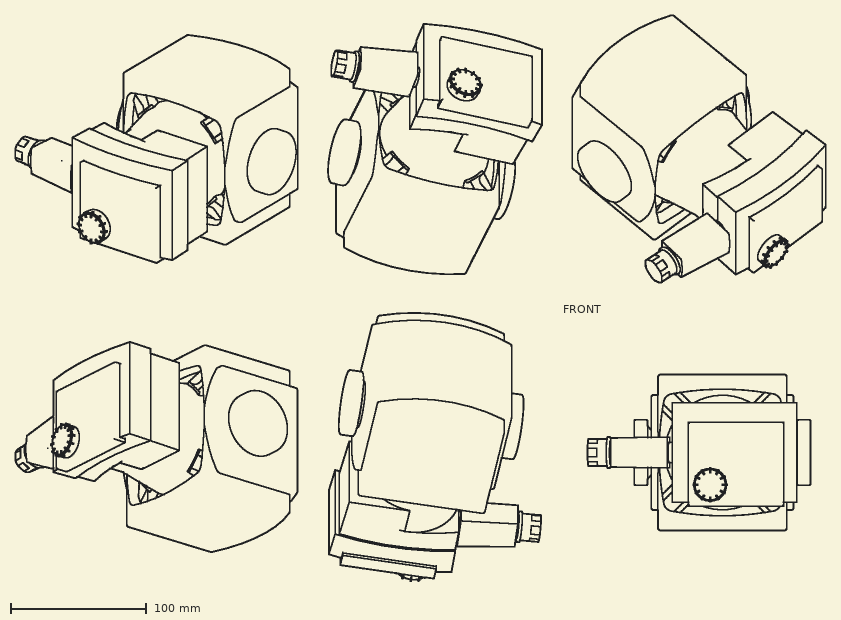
import cadquery as cq
import math


SHELL_FRONT_Y = -40.0
SHELL_FILLET = 2.0
BACK_RADIUS = 120.0
BLOCK_WIDTH = 95.0
BLOCK_HEIGHT = 115.0
BLOCK_BACK_Y = 49.6
PLATE_WIDTH = 105.0
PLATE_HEIGHT = 85.0
PLATE_BACK_Y = 55.05
PLATE_FRONT_RADIUS = 80.0
PLATE_CORNER_FILLET = 5.0

PILLOW_HALF = 46.7
PILLOW_CORNER_HALF = 42.2
PILLOW_CORNER_FILLET = 7.0
PILLOW_FRONT_Y = -29.0
PILLOW_BACK_Y = 20.0
PORT_LENGTH = 130.0
PORT_DIAMETER = 48.3
PORT_THICKNESS = 10.0
PORT_FILLET = 1.1
PIPE_DIAMETER = 33.7
NECK_DIAMETER = 39.0
RIB_THICKNESS = 3.8
RIB_OFFSET = 7.5
RIB_INNER_RADIUS = 40.0
RIB_LEDGE_RADIUS = 42.4
RIB_OUTER_RADIUS = 57.0
RIB_HEIGHT = 7.0
RIB_FILLET = 0.6
LEDGE_FILLET = 5.0

MOTOR_DIAMETER = 70.0
MOTOR_SHOULDER_Y = -65.0
MOTOR_SHELL_RADIUS = 40.0

MODULE_CENTRE_X = 9.0
MODULE_RADIUS = 220.0
MODULE_DRAFT = math.radians(2.5)
BASE_HEIGHT = 70.0
BASE_FRONT_Y = -100.3
BASE_LEFT_X = -34.6
BASE_RIGHT_X = 49.2
BASE_NOTCH_X = 3.8
MODULE_BACK_Y = -85.3
MODULE_BACK_RADIUS = 150.0
COVER_HEIGHT = 73.6
COVER_FRONT_Y = -120.5
COVER_HALF_WIDTH = 45.1

PANEL_LEFT_X = -25.0
PANEL_RIGHT_X = 45.2
PANEL_BOTTOM_Z = -39.6
PANEL_TOP_Z = 22.3
PANEL_FRONT_Y = -122.4
PANEL_THICKNESS = 10.0
PANEL_FILLET = 0.7

KNOB_X = -9.0
KNOB_Z = -23.8
KNOB_DIAMETER = 24.0
KNOB_FRONT_Y = -129.85
KNOB_CHAMFER = 0.8
GRIP_COUNT = 12
GRIP_DIAMETER = 25.0
GRIP_INNER_RADIUS = 9.0
GRIP_WIDTH = 0.8
GRIP_LENGTH = 3.3
GRIP_FRONT_Y = -130.25

CONNECTOR_TILT = math.radians(4.0)
NUT_END_X = -98.75
NUT_END_Y = -92.9
NUT_DIAMETER = 20.0
NUT_LENGTH = 14.0
NUT_FLAT_COUNT = 6
NUT_FLAT_APOTHEM = 9.5
NUT_FLAT_LENGTH = 7.0
SEAL_DIAMETER = 23.0
SEAL_THICKNESS = 2.2
SEAL_FILLET = 0.7
GLAND_NECK_DIAMETER = 17.0
CONNECTOR_OUTER_END = 17.3
CONNECTOR_INNER_END = 59.5
OUTER_END_HALF_HEIGHT = 10.8
OUTER_END_BACK = 11.5
OUTER_END_FRONT = -11.0
INNER_END_HALF_HEIGHT = 11.4
INNER_END_BACK = 10.1
INNER_END_FRONT = -15.0
CONNECTOR_BULGE = 0.9
CONNECTOR_FILLET = 0.8
STUB_DIAMETER = 15.0
STUB_LENGTH = 8.0


def arc_drop(radius, half_chord):
    """Height of an arc above the chord of the given half length."""
    return radius - math.sqrt(radius**2 - half_chord**2)


def box_between(x0, x1, y0, y1, z0, z1):
    return cq.Workplane("XY").box(x1 - x0, y1 - y0, z1 - z0, centered=False).translate((x0, y0, z0))


def shell_prism(width, height, back_y):
    """Block with a flat front and a rounded back."""
    half = width / 2
    side_y = back_y - arc_drop(BACK_RADIUS, half)
    return (
        cq.Workplane("XY", origin=(0, 0, -height / 2))
        .moveTo(-half, SHELL_FRONT_Y)
        .lineTo(half, SHELL_FRONT_Y)
        .lineTo(half, side_y)
        .threePointArc((0, back_y), (-half, side_y))
        .close()
        .extrude(height)
    )


def plate_side_prism():
    """Side outline of the wide plate: its front bulges around mid height."""
    half = PLATE_HEIGHT / 2
    corner_y = SHELL_FRONT_Y + arc_drop(PLATE_FRONT_RADIUS, half)
    return (
        cq.Workplane("YZ", origin=(-PLATE_WIDTH / 2, 0, 0))
        .moveTo(PLATE_BACK_Y, -half)
        .lineTo(PLATE_BACK_Y, half)
        .lineTo(corner_y, half)
        .threePointArc((SHELL_FRONT_Y, 0), (corner_y, -half))
        .close()
        .extrude(PLATE_WIDTH)
        .edges("|X")
        .edges("<Y")
        .fillet(PLATE_CORNER_FILLET)
    )


def pillow(y0, y1):
    """Square prism along Y with four bulged sides and rounded corners."""
    c = PILLOW_CORNER_HALF
    h = PILLOW_HALF
    return (
        cq.Workplane("XZ", origin=(0, y0, 0))
        .moveTo(-c, -c)
        .threePointArc((0, -h), (c, -c))
        .threePointArc((h, 0), (c, c))
        .threePointArc((0, h), (-c, c))
        .threePointArc((-h, 0), (-c, -c))
        .close()
        .extrude(y0 - y1)
        .edges("|Y")
        .fillet(PILLOW_CORNER_FILLET)
    )


def make_insulation():
    block = shell_prism(BLOCK_WIDTH, BLOCK_HEIGHT, BLOCK_BACK_Y).edges().fillet(SHELL_FILLET)
    plate = shell_prism(PLATE_WIDTH, PLATE_HEIGHT, PLATE_BACK_Y).intersect(plate_side_prism())
    plate = plate.edges().fillet(SHELL_FILLET)
    opening = pillow(PILLOW_BACK_Y, SHELL_FRONT_Y)
    pipe_bore = cq.Workplane("YZ").circle(PIPE_DIAMETER / 2).extrude(PLATE_WIDTH / 2, both=True)
    return block.union(plate).cut(opening).cut(pipe_bore)


def make_port():
    """Pipe end on the +X side: pipe, conical neck and round flange."""
    end_x = PORT_LENGTH / 2
    flange_x = end_x - PORT_THICKNESS
    pipe = cq.Workplane("YZ").circle(PIPE_DIAMETER / 2).extrude(end_x)
    neck = (
        cq.Workplane("YZ", origin=(PLATE_WIDTH / 2, 0, 0))
        .circle(PIPE_DIAMETER / 2)
        .workplane(offset=flange_x - PLATE_WIDTH / 2)
        .circle(NECK_DIAMETER / 2)
        .loft()
    )
    flange = (
        cq.Workplane("YZ", origin=(flange_x, 0, 0))
        .circle(PORT_DIAMETER / 2)
        .extrude(PORT_THICKNESS)
        .edges()
        .fillet(PORT_FILLET)
    )
    return pipe.union(neck).union(flange)


def make_corner_rib(offset):
    """Gusset that falls away from the motor, before it is turned to a corner."""
    return (
        cq.Workplane("XY", origin=(0, 0, offset - RIB_THICKNESS / 2))
        .moveTo(RIB_INNER_RADIUS, PILLOW_FRONT_Y)
        .lineTo(RIB_OUTER_RADIUS, PILLOW_FRONT_Y)
        .lineTo(RIB_LEDGE_RADIUS, PILLOW_FRONT_Y - RIB_HEIGHT)
        .lineTo(RIB_INNER_RADIUS, PILLOW_FRONT_Y - RIB_HEIGHT)
        .close()
        .extrude(RIB_THICKNESS)
        .edges("not (|X or |Y or |Z)")
        .fillet(RIB_FILLET)
    )


def make_corner_ledge():
    """Wall that joins the inner ends of two ribs, with a hollow fillet at its foot."""
    arc_centre_x = RIB_LEDGE_RADIUS + LEDGE_FILLET
    arc_centre_y = PILLOW_FRONT_Y - LEDGE_FILLET
    arc_middle = LEDGE_FILLET * math.sqrt(0.5)
    return (
        cq.Workplane("XY", origin=(0, 0, -RIB_OFFSET))
        .moveTo(RIB_INNER_RADIUS, PILLOW_FRONT_Y)
        .lineTo(arc_centre_x, PILLOW_FRONT_Y)
        .threePointArc(
            (arc_centre_x - arc_middle, arc_centre_y + arc_middle), (RIB_LEDGE_RADIUS, arc_centre_y)
        )
        .lineTo(RIB_LEDGE_RADIUS, PILLOW_FRONT_Y - RIB_HEIGHT)
        .lineTo(RIB_INNER_RADIUS, PILLOW_FRONT_Y - RIB_HEIGHT)
        .close()
        .extrude(2 * RIB_OFFSET)
    )


def make_pump_housing():
    housing = pillow(PILLOW_BACK_Y, PILLOW_FRONT_Y)
    port = make_port()
    housing = housing.union(port).union(port.mirror("YZ"))
    ribs = make_corner_rib(RIB_OFFSET).union(make_corner_rib(-RIB_OFFSET)).union(make_corner_ledge())
    opening = pillow(PILLOW_FRONT_Y, SHELL_FRONT_Y)
    for corner in range(4):
        angle = 45 + 90 * corner
        corner_ribs = ribs.rotate((0, 0, 0), (0, 1, 0), angle).intersect(opening)
        housing = housing.union(corner_ribs)
    return housing


def make_motor():
    """Cone from the pump housing to the shoulder, then a cylinder with a curved end."""
    radius = MOTOR_DIAMETER / 2
    slope = (MOTOR_SHELL_RADIUS - radius) / (SHELL_FRONT_Y - MOTOR_SHOULDER_Y)
    root_radius = radius + slope * (PILLOW_FRONT_Y - MOTOR_SHOULDER_Y)
    turned = (
        cq.Workplane("XY")
        .moveTo(0, PILLOW_FRONT_Y)
        .lineTo(root_radius, PILLOW_FRONT_Y)
        .lineTo(radius, MOTOR_SHOULDER_Y)
        .lineTo(radius, MODULE_BACK_Y)
        .lineTo(0, MODULE_BACK_Y)
        .close()
        .revolve(360, (0, 0, 0), (0, 1, 0))
    )
    return turned.intersect(module_back_cylinder())


def module_back_cylinder():
    """Upright cylinder whose -Y side is the curved seat of the motor in the module."""
    return (
        cq.Workplane("XY")
        .center(MODULE_CENTRE_X, MODULE_BACK_Y + MODULE_BACK_RADIUS)
        .circle(MODULE_BACK_RADIUS)
        .extrude(BASE_HEIGHT, both=True)
    )


def make_module_base():
    """Curved block with its left rear part cut away around the motor."""
    spread = (MOTOR_SHOULDER_Y - BASE_FRONT_Y) * math.tan(MODULE_DRAFT)
    left_x = BASE_LEFT_X - spread
    right_x = BASE_RIGHT_X + spread
    left_y = BASE_FRONT_Y + arc_drop(MODULE_RADIUS, MODULE_CENTRE_X - left_x)
    right_y = BASE_FRONT_Y + arc_drop(MODULE_RADIUS, right_x - MODULE_CENTRE_X)
    block = (
        cq.Workplane("XY", origin=(0, 0, -BASE_HEIGHT / 2))
        .moveTo(BASE_LEFT_X, MOTOR_SHOULDER_Y)
        .lineTo(left_x, left_y)
        .threePointArc((MODULE_CENTRE_X, BASE_FRONT_Y), (right_x, right_y))
        .lineTo(BASE_RIGHT_X, MOTOR_SHOULDER_Y)
        .close()
        .extrude(BASE_HEIGHT)
    )
    left_rear = box_between(
        left_x, BASE_NOTCH_X, MODULE_BACK_Y, MOTOR_SHOULDER_Y, -BASE_HEIGHT / 2, BASE_HEIGHT / 2
    )
    return block.cut(left_rear.intersect(module_back_cylinder()))


def make_module_cover():
    """Curved slab whose back follows the front of the base."""
    depth = BASE_FRONT_Y - COVER_FRONT_Y
    drop = arc_drop(MODULE_RADIUS, COVER_HALF_WIDTH)
    front_half = COVER_HALF_WIDTH + depth * math.tan(MODULE_DRAFT)
    front_drop = arc_drop(MODULE_RADIUS, front_half)
    x = MODULE_CENTRE_X
    return (
        cq.Workplane("XY", origin=(0, 0, -COVER_HEIGHT / 2))
        .moveTo(x - COVER_HALF_WIDTH, BASE_FRONT_Y + drop)
        .threePointArc((x, BASE_FRONT_Y), (x + COVER_HALF_WIDTH, BASE_FRONT_Y + drop))
        .lineTo(x + front_half, COVER_FRONT_Y + front_drop)
        .threePointArc((x, COVER_FRONT_Y), (x - front_half, COVER_FRONT_Y + front_drop))
        .close()
        .extrude(COVER_HEIGHT)
    )


def make_panel():
    panel = box_between(
        PANEL_LEFT_X, PANEL_RIGHT_X, PANEL_FRONT_Y, PANEL_FRONT_Y + PANEL_THICKNESS,
        PANEL_BOTTOM_Z, PANEL_TOP_Z,
    )
    return panel.faces("<Y").edges().fillet(PANEL_FILLET)


def make_knob():
    """Round knob with narrow grips that wrap over its front edge."""
    knob = (
        cq.Workplane("XZ", origin=(0, PANEL_FRONT_Y, 0))
        .circle(KNOB_DIAMETER / 2)
        .extrude(PANEL_FRONT_Y - KNOB_FRONT_Y)
        .faces("<Y")
        .chamfer(KNOB_CHAMFER)
    )
    grip = box_between(
        GRIP_INNER_RADIUS, GRIP_DIAMETER / 2, GRIP_FRONT_Y, GRIP_FRONT_Y + GRIP_LENGTH,
        -GRIP_WIDTH / 2, GRIP_WIDTH / 2,
    )
    for index in range(GRIP_COUNT):
        knob = knob.union(grip.rotate((0, 0, 0), (0, 1, 0), index * 360 / GRIP_COUNT))
    return knob.translate((KNOB_X, 0, KNOB_Z))


def connector_plane(distance):
    """Workplane across the connector axis; local x is Z and the normal points outward."""
    outward = (-math.cos(CONNECTOR_TILT), math.sin(CONNECTOR_TILT), 0)
    origin = (NUT_END_X - distance * outward[0], NUT_END_Y - distance * outward[1], 0)
    return cq.Workplane(cq.Plane(origin=origin, xDir=(0, 0, 1), normal=outward))


def connector_disc(diameter, start, end):
    return connector_plane(end).circle(diameter / 2).extrude(end - start)


def make_gland_nut():
    """Round nut with wrench flats at its outer end."""
    nut = connector_disc(NUT_DIAMETER, 0, NUT_LENGTH)
    hexagon_diameter = 2 * NUT_FLAT_APOTHEM / math.cos(math.pi / NUT_FLAT_COUNT)
    flats_start = connector_plane(NUT_FLAT_LENGTH)
    hexagon = flats_start.polygon(NUT_FLAT_COUNT, hexagon_diameter).extrude(NUT_FLAT_LENGTH)
    flat_waste = connector_disc(NUT_DIAMETER, 0, NUT_FLAT_LENGTH).cut(hexagon)
    return nut.cut(flat_waste)


def make_seal_ring():
    ring = connector_disc(SEAL_DIAMETER, NUT_LENGTH, NUT_LENGTH + SEAL_THICKNESS)
    return ring.edges().fillet(SEAL_FILLET)


def connector_section(distance, half_height, back, front):
    """Closed wire: flat back and sides, with a bulged front."""
    return (
        connector_plane(distance)
        .moveTo(-half_height, front)
        .lineTo(-half_height, back)
        .lineTo(half_height, back)
        .lineTo(half_height, front)
        .threePointArc((0, front - CONNECTOR_BULGE), (-half_height, front))
        .close()
        .wire()
        .val()
    )


def make_connector():
    outer_end = connector_section(
        CONNECTOR_OUTER_END, OUTER_END_HALF_HEIGHT, OUTER_END_BACK, OUTER_END_FRONT
    )
    inner_end = connector_section(
        CONNECTOR_INNER_END, INNER_END_HALF_HEIGHT, INNER_END_BACK, INNER_END_FRONT
    )
    body = cq.Workplane(obj=cq.Solid.makeLoft([outer_end, inner_end], True))
    length = CONNECTOR_INNER_END - CONNECTOR_OUTER_END
    long_edges = body.edges().filter(lambda edge: edge.Length() >= length)
    body = long_edges.filter(lambda edge: edge.Center().y < NUT_END_Y).fillet(CONNECTOR_FILLET)
    neck = connector_disc(GLAND_NECK_DIAMETER, NUT_LENGTH + SEAL_THICKNESS, CONNECTOR_OUTER_END)
    stub = connector_disc(STUB_DIAMETER, CONNECTOR_INNER_END, CONNECTOR_INNER_END + STUB_LENGTH)
    return body.union(neck).union(stub)


insulation = make_insulation()
motor = make_motor()
pump_housing = make_pump_housing().cut(motor)
module_base = make_module_base()
panel = make_panel()
module_cover = make_module_cover().cut(panel)
knob = make_knob()
gland_nut = make_gland_nut()
seal_ring = make_seal_ring()

connector = make_connector().cut(module_base).cut(module_cover)
module_base = module_base.cut(motor)

bodies = [
    insulation,
    pump_housing,
    motor,
    module_base,
    module_cover,
    panel,
    knob,
    gland_nut,
    seal_ring,
    connector,
]
result = cq.Compound.makeCompound([body.val() for body in bodies])